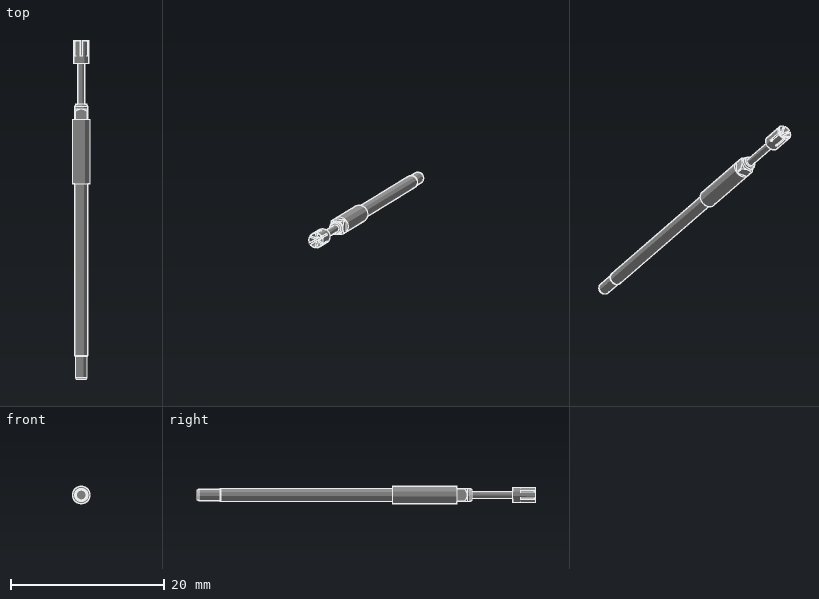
import cadquery as cq

total_length = 44.3

tail_diameter = 1.55
tail_chamfer = 0.15
tail_chamfer_length = 0.25
tube_diameter = 1.73
tube_chamfer = 0.05
tube_chamfer_length = 0.15
body_diameter = 2.3
square_width = tube_diameter
square_taper = (body_diameter - tube_diameter) / 2
square_taper_length = 0.3
collar_diameter = tube_diameter
collar_taper = 0.15
collar_taper_length = 0.25
plunger_diameter = 0.97
crown_diameter = 2.0

tail_length = 3.0
tube_length = 22.55
body_length = 8.4
square_length = 1.37
collar_length = 0.6
crown_length = 3.0

slot_count = 3
slot_width = 0.2
slot_depth = 2.0

cup_depth = 0.9
cup_rim_width = 0.05

tube_start = tail_length
body_start = tube_start + tube_length
square_start = body_start + body_length
collar_start = square_start + square_length
plunger_start = collar_start + collar_length
crown_start = total_length - crown_length


def workplane_at(y):
    """Plane across the axis at y, facing the crown; its local y runs along +Z."""
    return cq.Workplane(cq.Plane(origin=(0, y, 0), xDir=(-1, 0, 0), normal=(0, 1, 0)))


def cylinder(diameter, start, end):
    return workplane_at(start).circle(diameter / 2).extrude(end - start)


def make_tail():
    tail = cylinder(tail_diameter, 0, tube_start)
    return tail.faces("<Y").edges().chamfer(tail_chamfer_length, tail_chamfer)


def make_tube():
    tube = cylinder(tube_diameter, tube_start, body_start)
    return tube.faces("<Y").edges().chamfer(tube_chamfer_length, tube_chamfer)


def make_square():
    """Wrench square whose corners are rounded to the body diameter."""
    square = workplane_at(square_start).rect(square_width, square_width).extrude(square_length)
    turned_blank = cylinder(body_diameter, square_start, collar_start)
    turned_blank = turned_blank.faces(">Y").edges().chamfer(square_taper_length, square_taper)
    return square.intersect(turned_blank)


def make_collar():
    """Round collar whose front edge tapers towards the plunger."""
    collar = cylinder(collar_diameter, collar_start, plunger_start)
    return collar.faces(">Y").edges().chamfer(collar_taper_length, collar_taper)


def make_cup():
    """Conical recess in the end of the crown, leaving a narrow rim."""
    cup = cq.Solid.makeCone(
        0,
        crown_diameter / 2 - cup_rim_width,
        cup_depth,
        pnt=cq.Vector(0, total_length - cup_depth, 0),
        dir=cq.Vector(0, 1, 0),
    )
    return cq.Workplane(cup)


def make_crown():
    """Crown with a cupped end, split into teeth by the crossing slots."""
    crown = cylinder(crown_diameter, crown_start, total_length)
    slot = (
        workplane_at(total_length - slot_depth)
        .rect(slot_width, 2 * crown_diameter)
        .extrude(slot_depth)
    )
    for index in range(slot_count):
        angle = index * 180 / slot_count
        crown = crown.cut(slot.rotate((0, 0, 0), (0, 1, 0), angle))
    return crown.cut(make_cup())


probe = (
    make_tail()
    .union(make_tube())
    .union(cylinder(body_diameter, body_start, square_start))
    .union(make_square())
    .union(make_collar())
    .union(cylinder(plunger_diameter, plunger_start, crown_start))
    .union(make_crown())
)

result = probe.translate((0, -total_length / 2, 0))